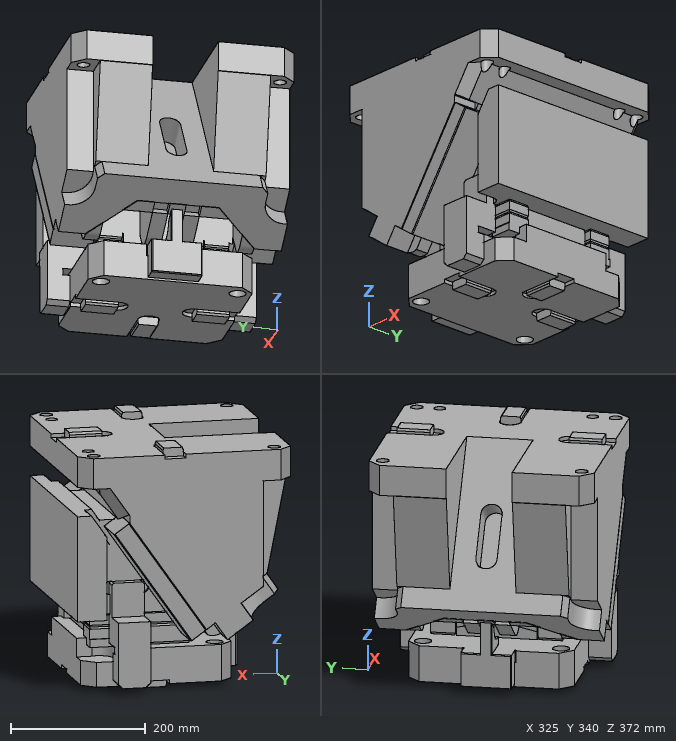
import cadquery as cq
import math


FAR = 744.0
OVERLAP = 3.7

LENGTH = 325.0
HALF_WIDTH = 170.0
HEIGHT = 372.0
CORNER_CHAMFER = 19.7

SLOPE_ANGLE = math.radians(55)
SLOPE_COS = math.cos(SLOPE_ANGLE)
SLOPE_SIN = math.sin(SLOPE_ANGLE)
SLOPE_X = 12.0
SLOPE_Z = 142.0

KEY_HEIGHT = 7.5
KEY_WIDTH = 31.2
KEY_LENGTH = 50.0
KEY_BEVEL_HEIGHT = 3.7
KEY_BEVEL_INSET = 1.5
KEY_SLOT_WIDTH = 32.0
KEY_SLOT_DEPTH = 6.0
SIDE_KEY_SETBACK = 15.3
SIDE_KEY_SLOT_LENGTH = 83.0
END_KEY_SETBACK = 20.0
END_KEY_SLOT_LENGTH = 88.0

PLATE_TOP = HEIGHT - KEY_HEIGHT
PLATE_BOTTOM = 318.0
HOLDER_KEY_X = 180.5
BOLT_HOLE_DIAMETER = 18.5
BOLT_HOLE_INSET = 25.0
BOLT_HOLE_Y = 150.0
DOWEL_HOLE_DIAMETER = 17.0
DOWEL_HOLE_Y = 115.5

FLANK_X = 46.5
CORE_HALF_WIDTH = 130.0
CORE_TOP_X = 1.5
CORE_KNEE_S = 32.7
FLANGE_CHAMFER = 9.3
ACCESS_CUT_N = 60.3
ACCESS_RADIUS = 34.5

POCKET_HALF_WIDTH = 50.0
WINDOW_S = 118.0
WINDOW_LENGTH = 100.8
WINDOW_WIDTH = 32.0

FOOT_N = 108.5
GIB_S_START = 32.5
GIB_S_END = 236.5
GIB_N_START = 125.5
GIB_N_END = 154.0
GIB_CHAMFER = 1.5
RELIEF_X = 250.0
STOP_S = 247.5
STOP_N_SIDE = 118.5
STOP_N = 134.5

ROOF_N = 42.5
ROOF_HALF_WIDTH = 62.0
WING_HALF_WIDTH = ROOF_HALF_WIDTH + FOOT_N - ROOF_N
SLIDE_HALF_WIDTH = 105.5
SLIDE_END_S = 1.0
TOE_N = 130.0
TOE_RADIUS = 24.0
SLIDE_TOP = 257.0
SLIDE_BOTTOM = 114.0
RECESS_N = 61.5
FINGER_INNER_Y = 12.3
FINGER_OUTER_Y = 35.7
SKID_INNER_Y = 106.5
FINGER_NOTCH_LENGTH = 11.0

WALL_X = 280.5
WALL_HALF_WIDTH = 150.5
WALL_TOP = 273.5
WALL_GAP = 0.7
WALL_N = GIB_N_END + WALL_GAP
WALL_STEP = 9.0
WALL_FILLET = 15.0

BEVEL_LENGTH = 3.0
BEVEL_INSET = 1.0
BEVEL_TAPER = math.degrees(math.atan(BEVEL_INSET / BEVEL_LENGTH))

RAIL_START_X = 142.0
RAIL_END_X = 294.5
RAIL_INNER_Y = 62.5
RAIL_OUTER_Y = 100.0
RAIL_SPLIT_Z = 93.7
CENTRE_HALF_WIDTH = 61.0
CENTRE_END_X = 284.2
RIDGE_SHOULDER_Z = 75.5
RIDGE_TOP_Z = 81.0

STRAP_X = 240.3
STRAP_WIDTH = 49.5
STRAP_OUTER_Y = 159.5
STRAP_INNER_Y = 135.8
STRAP_TOP = 111.0
STRAP_BOTTOM = 10.8
STRAP_CHAMFER = 7.0
ARM_INNER_Y = 101.5
ARM_BOTTOM = 69.0
HOOK_TOP = 58.5
TONGUE_OUTER_Y = 119.0
TONGUE_TOP = 163.0
TONGUE_CHAMFER = 3.0
KEYWAY_LENGTH = 69.2
KEYWAY_HEIGHT = 19.7
KEYWAY_DEPTH = 3.7

BASE_START_X = 80.0
BASE_END_X = 309.5
BASE_HALF_WIDTH = 125.0
BASE_BOTTOM = KEY_HEIGHT
BASE_TOP = 63.2
BASE_KEY_X = 195.0
BASE_HOLE_DIAMETER = 25.3
BASE_HOLE_X = 105.0
BASE_HOLE_Y = 104.0
LEDGE_Z = 45.5
LEDGE_START_X = 257.5
LEDGE_HALF_WIDTH = 78.0
LEDGE_RADIUS = 22.5
TAB_X = 285.7
TAB_HALF_WIDTH = 80.0
TAB_TOP = 73.5
GUIDE_START_X = 54.3
GUIDE_HALF_WIDTH = 38.5
GUIDE_BOTTOM = 10.8
GUIDE_SLOT_HALF_WIDTH = 40.5
GUIDE_SLOT_DEPTH = 3.7
RIB_HALF_WIDTH = 9.0
RIB_END_X = 109.7
RIB_ARC_X = 98.2
RIB_ARC_RADIUS = 26.0
RIB_SEAT_Z = 75.5


def slope(s, n):
    """X and Z of a point given along and square to the guide slope."""
    return (SLOPE_X + s * SLOPE_COS + n * SLOPE_SIN, SLOPE_Z + s * SLOPE_SIN - n * SLOPE_COS)


def slope_at_z(z, n):
    """X and Z of the point at height z on the inclined line with the given n."""
    return slope((z - SLOPE_Z + n * SLOPE_COS) / SLOPE_SIN, n)


def slope_at_x(x, n):
    """X and Z of the point at the given X on the inclined line with the given n."""
    return slope((x - SLOPE_X - n * SLOPE_SIN) / SLOPE_COS, n)


def block(x_range, y_range, z_range):
    """Box between two X, two Y and two Z values."""
    size = [high - low for low, high in (x_range, y_range, z_range)]
    corner = (x_range[0], y_range[0], z_range[0])
    return cq.Workplane("XY").box(*size, centered=False).translate(corner)


def wide_block(x_range, half_width, z_range):
    """Box that is symmetric in Y."""
    return block(x_range, (-half_width, half_width), z_range)


def profile_prism(outline, half_width):
    """XZ outline made symmetric in Y."""
    return cq.Workplane("XZ").polyline(outline).close().extrude(half_width, both=True)


def slope_block(s_range, y_range, n_range):
    """Box lined up with the guide slope."""
    s_low, s_high = s_range
    n_low, n_high = n_range
    corners = [slope(s_low, n_low), slope(s_high, n_low), slope(s_high, n_high), slope(s_low, n_high)]
    face = cq.Workplane("XZ", origin=(0, y_range[1], 0)).polyline(corners).close()
    return face.extrude(y_range[1] - y_range[0])


def slope_section_prism(section, s_start, s_end):
    """Symmetric section, given as the (Y, n) points of its +Y half, run along the guide slope."""
    x, z = slope(s_start, 0)
    plane = cq.Plane(origin=(x, 0, z), xDir=(0, 1, 0), normal=(SLOPE_COS, 0, SLOPE_SIN))
    points = [(y, -n) for y, n in section] + [(-y, -n) for y, n in reversed(section)]
    return cq.Workplane(plane).polyline(points).close().extrude(s_end - s_start)


def both_sides(shape):
    """A feature of the +Y side together with its mirror image."""
    return shape.union(shape.mirror("XZ"))


def place_on_edge(shape, x, y, z, turn, downwards):
    """Move a key feature to a plate edge; turn is the inward direction in degrees from +X."""
    if downwards:
        shape = shape.mirror("XY")
    return shape.rotate((0, 0, 0), (0, 0, 1), turn).translate((x, y, z))


def key_bar():
    """Key with bevelled long edges, starting at X = 0 with the face it sits in at Z = 0."""
    half_key = KEY_WIDTH / 2
    outline = [
        (-half_key, -KEY_SLOT_DEPTH),
        (-half_key, KEY_HEIGHT - KEY_BEVEL_HEIGHT),
        (-half_key + KEY_BEVEL_INSET, KEY_HEIGHT),
        (half_key - KEY_BEVEL_INSET, KEY_HEIGHT),
        (half_key, KEY_HEIGHT - KEY_BEVEL_HEIGHT),
        (half_key, -KEY_SLOT_DEPTH),
    ]
    return cq.Workplane("YZ").polyline(outline).close().extrude(KEY_LENGTH)


def add_key(body, place, setback, slot_length):
    """Mill an open, round-ended slot into a face and set a bevelled key in it."""
    straight = slot_length - KEY_SLOT_WIDTH / 2
    half_slot = KEY_SLOT_WIDTH / 2
    slot = wide_block((0, straight), half_slot, (-KEY_SLOT_DEPTH, KEY_HEIGHT))
    slot_end = cq.Workplane("XY", origin=(straight, 0, -KEY_SLOT_DEPTH)).circle(half_slot)
    slot = slot.union(slot_end.extrude(KEY_SLOT_DEPTH + KEY_HEIGHT))
    key = key_bar().translate((setback, 0, 0))
    return body.cut(place_on_edge(slot, *place)).union(place_on_edge(key, *place))


def add_three_keys(body, key_x, end_x, half_width, z, downwards):
    """One key at each side edge and one at the +X edge."""
    for side in (-1, 1):
        place = (key_x, side * half_width, z, -90 * side, downwards)
        body = add_key(body, place, SIDE_KEY_SETBACK, SIDE_KEY_SLOT_LENGTH)
    place = (end_x, 0, z, 180, downwards)
    return add_key(body, place, END_KEY_SETBACK, END_KEY_SLOT_LENGTH)


def holder_walls():
    """Plate, side walls and the middle that reaches further left."""
    plate = wide_block((0, LENGTH), HALF_WIDTH, (PLATE_BOTTOM, PLATE_TOP))
    plate = plate.edges("|Z").chamfer(CORNER_CHAMFER)
    right_edge = [
        slope_at_z(PLATE_BOTTOM, STOP_N_SIDE),
        slope_at_x(RELIEF_X, STOP_N_SIDE),
        slope_at_x(RELIEF_X, GIB_N_START),
        slope(GIB_S_START, GIB_N_START),
        slope(GIB_S_START, FOOT_N),
        slope(0, FOOT_N),
    ]
    core_knee = slope(CORE_KNEE_S, 0)
    core_outline = [(CORE_TOP_X, PLATE_BOTTOM)] + right_edge + [slope(0, 0), core_knee]
    core = profile_prism(core_outline, CORE_HALF_WIDTH)
    knee_n = (FLANK_X - slope(CORE_KNEE_S, 0)[0]) / SLOPE_SIN
    wall_left = [slope(0, 0), slope(CORE_KNEE_S, 0), slope(CORE_KNEE_S, knee_n)]
    walls = profile_prism([(FLANK_X, PLATE_BOTTOM)] + right_edge + wall_left, HALF_WIDTH)
    return plate.union(core).union(walls.cut(access_cuts()))


def access_cuts():
    """Clearance at the two lower front corners, rounded along the slope."""
    cut = slope_block((0, CORE_KNEE_S), (CORE_HALF_WIDTH, HALF_WIDTH), (0, ACCESS_CUT_N))
    x, z = slope(0, ACCESS_CUT_N)
    inner_edge = cq.selectors.NearestToPointSelector(
        (x + CORE_KNEE_S / 2 * SLOPE_COS, CORE_HALF_WIDTH, z + CORE_KNEE_S / 2 * SLOPE_SIN)
    )
    return both_sides(cut.edges(inner_edge).fillet(ACCESS_RADIUS))


def flange_chamfer_cuts():
    """Bevels at both ends of the lower flange."""
    inner_y = CORE_HALF_WIDTH - FLANGE_CHAMFER
    x, z = slope(0, 0)
    plane = cq.Plane(origin=(x, 0, z), xDir=(0, 1, 0), normal=(SLOPE_COS, 0, SLOPE_SIN))
    corner = [(inner_y, 0), (CORE_HALF_WIDTH, 0), (CORE_HALF_WIDTH, -FLANGE_CHAMFER)]
    return both_sides(cq.Workplane(plane).polyline(corner).close().extrude(CORE_KNEE_S))


def pocket_cut():
    """Pocket in the plate whose floor follows the guide slope."""
    floor = [slope(0, 0), slope_at_z(HEIGHT, 0), (0, HEIGHT)]
    return profile_prism(floor + [(-LENGTH, HEIGHT), (-LENGTH, slope(0, 0)[1])], POCKET_HALF_WIDTH)


def window_cut():
    """Round-ended window from the pocket floor through to the slide."""
    x, z = slope(WINDOW_S, 0)
    plane = cq.Plane(origin=(x, 0, z), xDir=(SLOPE_COS, 0, SLOPE_SIN), normal=(SLOPE_SIN, 0, -SLOPE_COS))
    return cq.Workplane(plane).slot2D(WINDOW_LENGTH, WINDOW_WIDTH).extrude(ROOF_N)


def channel_cut():
    """V-roofed guide that the slide runs in."""
    section = [(ROOF_HALF_WIDTH, ROOF_N), (WING_HALF_WIDTH, FOOT_N), (WING_HALF_WIDTH, GIB_N_START + OVERLAP)]
    return slope_section_prism(section, -OVERLAP, STOP_S)


def gibs():
    """Strips under the side walls that hold up the wings of the slide."""
    strip = slope_block((GIB_S_START, GIB_S_END), (SLIDE_HALF_WIDTH, HALF_WIDTH), (GIB_N_START, GIB_N_END))
    along_slope = cq.selectors.ParallelDirSelector(cq.Vector(SLOPE_COS, 0, SLOPE_SIN))
    outer_edges = strip.faces(">Y").edges(along_slope)
    return both_sides(outer_edges.chamfer(GIB_CHAMFER))


def stop():
    """Bevelled stop above the guide."""
    bevel = STOP_N - STOP_N_SIDE
    section = [(HALF_WIDTH, STOP_N_SIDE - OVERLAP), (HALF_WIDTH, STOP_N_SIDE), (HALF_WIDTH - bevel, STOP_N)]
    under_plate = wide_block((0, LENGTH), HALF_WIDTH, (0, PLATE_BOTTOM))
    return slope_section_prism(section, STOP_S, FAR).intersect(under_plate)


def hole_cutters(points, diameter, z_range):
    cutter = cq.Workplane("XY", origin=(0, 0, z_range[0])).pushPoints(points).circle(diameter / 2)
    return cutter.extrude(z_range[1] - z_range[0])


def make_holder():
    body = holder_walls().cut(flange_chamfer_cuts()).cut(pocket_cut()).cut(channel_cut()).cut(window_cut())
    body = body.union(stop()).union(gibs())
    far_x = LENGTH - BOLT_HOLE_INSET
    bolts = [(x, side * BOLT_HOLE_Y) for x in (BOLT_HOLE_INSET, far_x) for side in (-1, 1)]
    dowels = [(far_x, side * DOWEL_HOLE_Y) for side in (-1, 1)]
    body = body.cut(hole_cutters(bolts, BOLT_HOLE_DIAMETER, (SLIDE_TOP, PLATE_TOP)))
    body = body.cut(hole_cutters(dowels, DOWEL_HOLE_DIAMETER, (SLIDE_TOP, PLATE_TOP)))
    return add_three_keys(body, HOLDER_KEY_X, LENGTH, HALF_WIDTH, PLATE_TOP, False)


def slide_core():
    """V-topped middle that fills the guide, with rounded toes at its lower end."""
    toe_centre_s = SLIDE_END_S + TOE_RADIUS
    toe_centre_n = TOE_N - TOE_RADIUS
    diagonal = TOE_RADIUS * math.sqrt(0.5)
    profile = (
        cq.Workplane("XZ")
        .moveTo(*slope(SLIDE_END_S, ROOF_N))
        .lineTo(*slope(SLIDE_END_S, toe_centre_n))
        .threePointArc(slope(toe_centre_s - diagonal, toe_centre_n + diagonal), slope(toe_centre_s, TOE_N))
        .lineTo(*slope_at_z(SLIDE_BOTTOM, TOE_N))
        .lineTo(WALL_X, SLIDE_BOTTOM)
        .lineTo(WALL_X, SLIDE_TOP)
        .lineTo(*slope_at_z(SLIDE_TOP, ROOF_N))
        .close()
        .extrude(FAR, both=True)
    )
    section = [
        (ROOF_HALF_WIDTH, ROOF_N),
        (WING_HALF_WIDTH, FOOT_N),
        (WING_HALF_WIDTH, GIB_N_START),
        (SLIDE_HALF_WIDTH, GIB_N_START),
        (SLIDE_HALF_WIDTH, FAR),
    ]
    return profile.intersect(slope_section_prism(section, -FAR, FAR))


def toe_gaps():
    """Openings under the V plate that leave two fingers and two outer skids as toes."""
    outline = [
        slope(0, RECESS_N),
        slope_at_x(RAIL_START_X, RECESS_N),
        (RAIL_START_X, 0),
        (slope(0, RECESS_N)[0], 0),
    ]
    gaps = profile_prism(outline, SKID_INNER_Y).cut(profile_prism(outline, FINGER_OUTER_Y))
    gaps = gaps.union(profile_prism(outline, FINGER_INNER_Y))
    notches = slope_block((0, FINGER_NOTCH_LENGTH), (FINGER_INNER_Y, FINGER_OUTER_Y), (0, RECESS_N))
    return gaps.union(both_sides(notches))


def working_wall():
    """Upright wall at the right, sloped and stepped back at its outer parts where it faces the guide."""
    wall = wide_block((WALL_X, LENGTH), WALL_HALF_WIDTH, (SLIDE_BOTTOM, WALL_TOP))
    corner_y = SLIDE_HALF_WIDTH + WALL_FILLET
    web = (
        cq.Workplane("XY", origin=(0, 0, SLIDE_BOTTOM))
        .moveTo(WALL_X - WALL_FILLET, SLIDE_HALF_WIDTH)
        .radiusArc((WALL_X, corner_y), -WALL_FILLET)
        .lineTo(WALL_X, SLIDE_HALF_WIDTH)
        .close()
        .extrude(WALL_TOP - SLIDE_BOTTOM)
    )
    section = [
        (SLIDE_HALF_WIDTH, WALL_N),
        (SLIDE_HALF_WIDTH, WALL_N + WALL_STEP),
        (WALL_HALF_WIDTH, WALL_N + WALL_STEP),
        (WALL_HALF_WIDTH, FAR),
    ]
    return wall.union(both_sides(web)).intersect(slope_section_prism(section, -FAR, FAR))


def rail(z_low, z_high):
    """Pair of long wear rails with steep bevels around their top and bottom."""
    length = RAIL_END_X - RAIL_START_X
    width = RAIL_OUTER_Y - RAIL_INNER_Y
    middle_x = (RAIL_START_X + RAIL_END_X) / 2
    middle_y = (RAIL_INNER_Y + RAIL_OUTER_Y) / 2
    middle_z = (z_low + z_high) / 2
    half_straight = (z_high - z_low) / 2 - BEVEL_LENGTH
    upper = cq.Workplane("XY").rect(length, width).extrude(half_straight)
    bevel = cq.Workplane("XY", origin=(0, 0, half_straight)).rect(length, width)
    upper = upper.union(bevel.extrude(BEVEL_LENGTH, taper=BEVEL_TAPER))
    return both_sides(upper.union(upper.mirror("XY")).translate((middle_x, middle_y, middle_z)))


def ridge_roof(x_range, z_low):
    """Block with the low hipped roof on which the middle of the slide rests."""
    outline = [
        (-CENTRE_HALF_WIDTH, z_low),
        (-CENTRE_HALF_WIDTH, RIDGE_SHOULDER_Z),
        (-FINGER_OUTER_Y, RIDGE_TOP_Z),
        (FINGER_OUTER_Y, RIDGE_TOP_Z),
        (CENTRE_HALF_WIDTH, RIDGE_SHOULDER_Z),
        (CENTRE_HALF_WIDTH, z_low),
    ]
    profile = cq.Workplane("YZ", origin=(x_range[0], 0, 0)).polyline(outline).close()
    return profile.extrude(x_range[1] - x_range[0])


def slide_foot():
    """Middle of the slide between the rails, resting on the ridge of the base."""
    x_range = (RAIL_START_X, CENTRE_END_X)
    foot = wide_block(x_range, CENTRE_HALF_WIDTH, (RIDGE_SHOULDER_Z, SLIDE_BOTTOM))
    return foot.cut(ridge_roof(x_range, BASE_TOP))


def straps():
    """Return straps that reach down past the base and hook inwards."""
    x_range = (STRAP_X - STRAP_WIDTH / 2, STRAP_X + STRAP_WIDTH / 2)
    upright = block(x_range, (STRAP_INNER_Y, STRAP_OUTER_Y), (STRAP_BOTTOM, STRAP_TOP))
    hook = block(x_range, (BASE_HALF_WIDTH, STRAP_OUTER_Y), (STRAP_BOTTOM, HOOK_TOP))
    arm = block(x_range, (ARM_INNER_Y, STRAP_OUTER_Y), (ARM_BOTTOM, STRAP_TOP))
    tongue = block(x_range, (ARM_INNER_Y, TONGUE_OUTER_Y), (ARM_BOTTOM, TONGUE_TOP))
    tongue = tongue.faces(">Z").edges("|Y").chamfer(TONGUE_CHAMFER)
    strap = upright.union(hook).clean().faces("<Z").edges("|Y").chamfer(STRAP_CHAMFER)
    return both_sides(strap.union(arm).union(tongue))


def strap_keyways():
    """Round-ended seats in the sides of the slide behind the straps."""
    plane_origin = (STRAP_X, SLIDE_HALF_WIDTH - KEYWAY_DEPTH, TONGUE_TOP - KEYWAY_HEIGHT / 2)
    seat = cq.Workplane("XZ", origin=plane_origin).slot2D(KEYWAY_LENGTH, KEYWAY_HEIGHT)
    return both_sides(seat.extrude(-(KEYWAY_DEPTH + WALL_HALF_WIDTH - SLIDE_HALF_WIDTH)))


def make_slide():
    body = slide_core().cut(toe_gaps()).union(working_wall()).cut(strap_keyways())
    return body.union(rail(RAIL_SPLIT_Z, SLIDE_BOTTOM)).union(slide_foot()).union(straps())


def base_plate():
    """Plate with lowered rear corners and an end tab."""
    plate = wide_block((BASE_START_X, BASE_END_X), BASE_HALF_WIDTH, (BASE_BOTTOM, BASE_TOP))
    plate = plate.edges("|Z").chamfer(CORNER_CHAMFER)
    ledge = block((LEDGE_START_X, LENGTH), (LEDGE_HALF_WIDTH, HALF_WIDTH), (LEDGE_Z, BASE_TOP))
    ledge = ledge.edges("|Z and <X and <Y").fillet(LEDGE_RADIUS)
    points = [(BASE_HOLE_X, side * BASE_HOLE_Y) for side in (-1, 1)]
    holes = hole_cutters(points, BASE_HOLE_DIAMETER, (BASE_BOTTOM, BASE_TOP))
    slot_x = (BASE_START_X, BASE_START_X + GUIDE_SLOT_DEPTH)
    slot = wide_block(slot_x, GUIDE_SLOT_HALF_WIDTH, (LEDGE_Z, BASE_TOP))
    tab = wide_block((TAB_X, BASE_END_X), TAB_HALF_WIDTH, (LEDGE_Z, TAB_TOP))
    return plate.cut(both_sides(ledge)).cut(holes).cut(slot).union(tab)


def rail_feet():
    """Square-edged feet around the rear ends of the lower rails, slightly wider than the rails."""
    foot = block((LEDGE_START_X, RAIL_END_X), (RAIL_INNER_Y, ARM_INNER_Y), (BASE_TOP, RIDGE_SHOULDER_Z))
    return both_sides(foot)


def front_guide():
    """T-shaped guide at the left: a block, and a thin rib with a hollow rounded seat."""
    outline = [
        (-GUIDE_HALF_WIDTH, GUIDE_BOTTOM),
        (GUIDE_HALF_WIDTH, GUIDE_BOTTOM),
        (GUIDE_HALF_WIDTH, BASE_TOP),
        (RIB_HALF_WIDTH, BASE_TOP),
        (RIB_HALF_WIDTH, SLOPE_Z),
        (-RIB_HALF_WIDTH, SLOPE_Z),
        (-RIB_HALF_WIDTH, BASE_TOP),
        (-GUIDE_HALF_WIDTH, BASE_TOP),
    ]
    bevel_x = GUIDE_START_X + BEVEL_LENGTH
    section = cq.Workplane("YZ", origin=(bevel_x, 0, 0)).polyline(outline).close()
    bevel = cq.Workplane("YZ", origin=(bevel_x, 0, 0)).polyline(outline).close()
    guide = section.extrude(RIB_END_X - bevel_x)
    guide = guide.union(bevel.extrude(-BEVEL_LENGTH, taper=BEVEL_TAPER))
    seat_z = RIB_SEAT_Z + RIB_ARC_RADIUS
    hollow = cq.Workplane("XZ").center(RIB_ARC_X, seat_z).circle(RIB_ARC_RADIUS)
    hollow = hollow.extrude(RIB_HALF_WIDTH, both=True)
    above_seat = wide_block((RIB_ARC_X, LENGTH), HALF_WIDTH, (RIB_SEAT_Z, HEIGHT))
    above_holder_foot = slope_block((0, FAR), (-HALF_WIDTH, HALF_WIDTH), (-FAR, FAR))
    return guide.cut(hollow).cut(above_seat).cut(above_holder_foot)


def make_base():
    body = base_plate().union(front_guide()).union(rail(BASE_TOP, RAIL_SPLIT_Z)).union(rail_feet())
    body = body.union(ridge_roof((RAIL_START_X, CENTRE_END_X), BASE_BOTTOM))
    return add_three_keys(body, BASE_KEY_X, BASE_END_X, BASE_HALF_WIDTH, BASE_BOTTOM, True)


holder = make_holder().solids()
slide = make_slide().solids()
base = make_base().solids()
result = cq.Compound.makeCompound([holder.val(), slide.val(), base.val()])